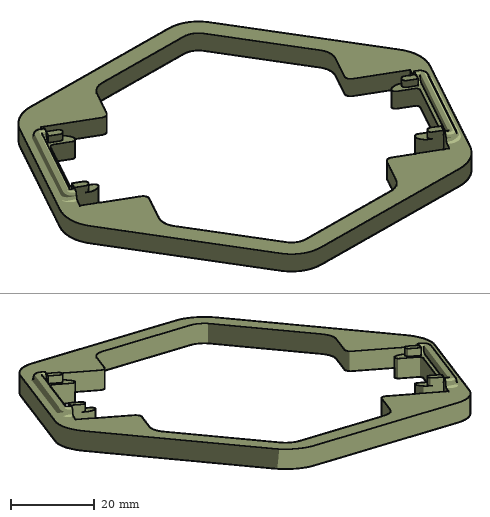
import cadquery as cq
import math

LENGTH_X = 103.1
LENGTH_Y = 102.0
TOTAL_HEIGHT = 7.0
FRAME_WIDTH = 5.1
OUTER_CORNER_RADIUS = 10.0
INNER_CORNER_RADIUS = 5.0
OPENING_FRONT_Y = -29.1
OPENING_BACK_Y = 30.0
SIDE_TILT = math.radians(60)

NOTCH_WIDTH = 35.1
NOTCH_CORNER_RADIUS = 1.5
NOTCH_EDGE_Y = LENGTH_Y / 2 - FRAME_WIDTH

RIDGE_HEIGHT = 2.0
RIDGE_INNER_ROUND = 0.6
RIDGE_FOOT_RADIUS = 1.0
RIDGE_OUTER_ROUND = RIDGE_HEIGHT - RIDGE_FOOT_RADIUS
RIDGE_STRAIGHT_LENGTH = 25.0
RIDGE_SETBACK = 1.0
RIDGE_OUTER_MARGIN = 0.91
RIDGE_FOOT_WIDTH = FRAME_WIDTH - RIDGE_SETBACK - RIDGE_OUTER_MARGIN
RIDGE_INNER_Y = NOTCH_EDGE_Y + RIDGE_SETBACK
RIDGE_END_X = RIDGE_STRAIGHT_LENGTH / 2

PRONG_WIDTH = 3.0
PRONG_LENGTH = 6.6
PRONG_STRAIGHT_LENGTH = 3.5
PRONG_TIP_RADIUS = 1.0
PRONG_ROOT_RADIUS = 1.0
TAB_WIDTH = 2.0
TAB_LENGTH = 3.8
TAB_FILLET_RADIUS = RIDGE_HEIGHT - RIDGE_INNER_ROUND

PLATE_THICKNESS = TOTAL_HEIGHT - RIDGE_HEIGHT
QUARTER_ARC = math.sqrt(0.5)


def rounded_hexagon(side_distance, front_y, back_y, radius):
    """Hexagonal prism with flat Y ends and slanted sides at side_distance from the centre."""
    point_x = side_distance / math.sin(SIDE_TILT)
    front_x = point_x + front_y / math.tan(SIDE_TILT)
    back_x = point_x - back_y / math.tan(SIDE_TILT)
    corners = [
        (point_x, 0),
        (back_x, back_y),
        (-back_x, back_y),
        (-point_x, 0),
        (-front_x, front_y),
        (front_x, front_y),
    ]
    outline = cq.Workplane("XY").polyline(corners).close()
    return outline.extrude(PLATE_THICKNESS).edges("|Z").fillet(radius)


def make_frame():
    side_distance = (LENGTH_X / 2 - OUTER_CORNER_RADIUS) * math.sin(SIDE_TILT) + OUTER_CORNER_RADIUS
    plate = rounded_hexagon(side_distance, -LENGTH_Y / 2, LENGTH_Y / 2, OUTER_CORNER_RADIUS)
    inner_distance = side_distance - FRAME_WIDTH
    opening = rounded_hexagon(inner_distance, OPENING_FRONT_Y, OPENING_BACK_Y, INNER_CORNER_RADIUS)
    notch = cq.Workplane("XY").rect(NOTCH_WIDTH, 2 * NOTCH_EDGE_Y).extrude(PLATE_THICKNESS)
    frame = plate.cut(opening).cut(notch)

    corner_x = NOTCH_WIDTH / 2
    for x in (-corner_x, corner_x):
        for y in (OPENING_FRONT_Y, OPENING_BACK_Y):
            corner = cq.selectors.NearestToPointSelector((x, y, PLATE_THICKNESS / 2))
            frame = frame.edges(corner).fillet(NOTCH_CORNER_RADIUS)
    return frame


def ridge_profile(plane):
    """Ridge section: upright inner face, rounded top and a concave outer foot."""
    inner = RIDGE_INNER_ROUND
    foot = RIDGE_FOOT_RADIUS
    steep_x = RIDGE_FOOT_WIDTH - foot
    crest_x = steep_x - RIDGE_OUTER_ROUND
    inner_sag = inner * (1 - QUARTER_ARC)
    outer_rise = RIDGE_OUTER_ROUND * QUARTER_ARC
    foot_sag = foot * (1 - QUARTER_ARC)
    return (
        cq.Workplane(plane)
        .lineTo(0, RIDGE_HEIGHT - inner)
        .threePointArc((inner_sag, RIDGE_HEIGHT - inner_sag), (inner, RIDGE_HEIGHT))
        .lineTo(crest_x, RIDGE_HEIGHT)
        .threePointArc((crest_x + outer_rise, foot + outer_rise), (steep_x, foot))
        .threePointArc((steep_x + foot_sag, foot_sag), (RIDGE_FOOT_WIDTH, 0))
        .close()
    )


def make_ridge():
    start = (RIDGE_END_X, RIDGE_INNER_Y, PLATE_THICKNESS)
    bar_plane = cq.Plane(origin=start, xDir=(0, 1, 0), normal=(1, 0, 0))
    end_plane = cq.Plane(origin=start, xDir=(1, 0, 0), normal=(0, -1, 0))

    bar = ridge_profile(bar_plane).extrude(-RIDGE_STRAIGHT_LENGTH)
    bend = ridge_profile(end_plane).revolve(90, (0, 0), (0, 1))
    leg = ridge_profile(end_plane).extrude(RIDGE_SETBACK)
    end = bend.union(leg)
    return bar.union(end).union(end.mirror("YZ"))


def make_prong():
    """Prong on the +X side, with one straight flank and one curved in to the round tip."""
    outer_x = RIDGE_END_X
    inner_x = outer_x - PRONG_WIDTH
    root_y = RIDGE_INNER_Y
    bend_y = NOTCH_EDGE_Y - PRONG_STRAIGHT_LENGTH
    tip_x = inner_x + PRONG_TIP_RADIUS
    tip_y = NOTCH_EDGE_Y - PRONG_LENGTH + PRONG_TIP_RADIUS

    across = outer_x - tip_x
    along = bend_y - tip_y
    flank_radius = (across**2 + along**2 - PRONG_TIP_RADIUS**2) / (2 * (across - PRONG_TIP_RADIUS))
    flank_x = outer_x - flank_radius
    flank_angle = math.atan2(-along, tip_x - flank_x)

    def on_arc(center_x, center_y, radius, angle):
        return (center_x + radius * math.cos(angle), center_y + radius * math.sin(angle))

    flank_mid = on_arc(flank_x, bend_y, flank_radius, flank_angle / 2)
    flank_end = on_arc(flank_x, bend_y, flank_radius, flank_angle)
    tip_mid = on_arc(tip_x, tip_y, PRONG_TIP_RADIUS, (flank_angle - math.pi) / 2)
    root_end_y = NOTCH_EDGE_Y - PRONG_ROOT_RADIUS
    root_end_x = inner_x - PRONG_ROOT_RADIUS
    root_sag = PRONG_ROOT_RADIUS * (1 - QUARTER_ARC)
    return (
        cq.Workplane("XY")
        .moveTo(outer_x, root_y)
        .lineTo(outer_x, bend_y)
        .threePointArc(flank_mid, flank_end)
        .threePointArc(tip_mid, (inner_x, tip_y))
        .lineTo(inner_x, root_end_y)
        .threePointArc((inner_x - root_sag, NOTCH_EDGE_Y - root_sag), (root_end_x, NOTCH_EDGE_Y))
        .lineTo(root_end_x, root_y)
        .close()
        .extrude(PLATE_THICKNESS)
    )


def make_tab():
    """Round-ended tab on the +X prong, and the concave fillet joining it to the ridge."""
    radius = TAB_WIDTH / 2
    outer_x = RIDGE_END_X
    inner_x = outer_x - TAB_WIDTH
    round_y = NOTCH_EDGE_Y - TAB_LENGTH + radius
    tab = (
        cq.Workplane("XY", origin=(0, 0, PLATE_THICKNESS))
        .moveTo(outer_x, NOTCH_EDGE_Y)
        .lineTo(outer_x, round_y)
        .threePointArc((outer_x - radius, round_y - radius), (inner_x, round_y))
        .lineTo(inner_x, NOTCH_EDGE_Y)
        .close()
        .extrude(RIDGE_HEIGHT)
    )

    fillet_plane = cq.Plane(
        origin=(outer_x, RIDGE_INNER_Y, PLATE_THICKNESS), xDir=(1, 0, 0), normal=(0, -1, 0)
    )
    sag = TAB_FILLET_RADIUS * (1 - QUARTER_ARC)
    fillet = (
        cq.Workplane(fillet_plane)
        .lineTo(0, TAB_FILLET_RADIUS)
        .threePointArc((-sag, sag), (-TAB_FILLET_RADIUS, 0))
        .close()
        .extrude(RIDGE_SETBACK)
    )
    return tab.union(fillet)


def make_clip():
    prong = make_prong().union(make_tab())
    return make_ridge().union(prong).union(prong.mirror("YZ"))


clip = make_clip()
result = make_frame().union(clip).union(clip.mirror("XZ"))